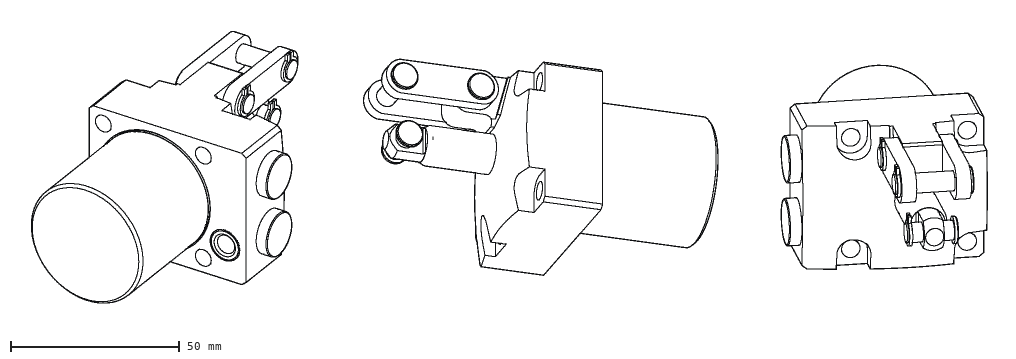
import cadquery as cq
import math


overall_length = 101

block_height = 45.0
block_half = block_height / 2
block_width = 55.0
block_left = -block_half
block_right = block_left + block_width
corner_chamfer_x = 1.5
corner_chamfer_z = 1.2

front_y = 27.6
front_flat_radius = 8.5
front_cone_angle = 15

barrel_radius = 19.6
barrel_length = 37.5
barrel_chamfer = 0.9
barrel_relief = 0.4

bolt_pitch = 35.0
bolt_offset = bolt_pitch / 2
bolt_hole_diameter = 5.6
bolt_pocket_radius = 4.9
bolt_pocket_floor = 18.1

seal_x = 25.0
seal_z = -10.9
seal_groove_outer_radius = 5.1
seal_groove_inner_radius = 4.7
seal_bore_radius = 3.7
seal_bore_floor_radius = 3.0

plug_radius = 7.1
plug_length = 3.7
plug_chamfer = 0.3
plug_y = 12.6
plug_z = 9.9

pin_diameter = 6.0
pin_head_diameter = 8.2
pin_head_length = 1.1
pin_head_chamfer = 0.3
pin_tail_length = 1.4
ring_diameter = 7.9
ring_thickness = 0.9
ring_ear_reach = 5.6
ring_ear_width = 3.3
ring_ear_gap = 0.6

tongue_width = 12.0
link_thickness = 4.4
link_width = 10.8
link_end_radius = 5.6
link_pitch = 23.9
link_tip_y = overall_length - barrel_length
link_outer_y = link_tip_y - link_end_radius
link_inner_y = link_outer_y - link_pitch
link_z = 16.6

tongue_tip_y = 40.6
tongue_bottom = 9.9
tongue_tip_radius = 4.0
tongue_tip_chamfer = 0.8
tongue_root_radius = 2.5
tongue_foot_y = 28.8
tongue_foot_bottom = 6.9

pad_width = 13.9
pad_top_y = 24.2
pad_bevel_top = 10.0
pad_bevel_inset = 2.5

rod_radius = 6.1
rod_edge_y = 46.7
rod_taper_y = 47.4
rod_taper_radius = 6.0
rod_shoulder_y = 48.9
rod_shoulder_radius = 5.3
rod_end_radius = 5.1
rod_end_chamfer_y = 57.6
rod_tip_y = 60.2
rod_tip_radius = 2.7
rod_flat_width = 6.0
rod_flat_root = 0.6
rod_pin_y = 55.0
rod_pin_grip = 12.7


def y_cylinder(radius, y_start, y_end, x=0, z=0):
    """Cylinder parallel to Y between two Y positions."""
    return cq.Workplane("XZ", origin=(x, y_start, z)).circle(radius).extrude(y_start - y_end)


def x_cylinder(radius, x_start, length, y, z):
    """Cylinder parallel to X that starts at x_start."""
    return cq.Workplane("YZ", origin=(x_start, y, z)).circle(radius).extrude(length)


def revolve_about_y(profile):
    """Solid of revolution about the Y axis from (radius, y) points."""
    return cq.Workplane("XY").polyline(profile).close().revolve(360, (0, 0, 0), (0, 1, 0))


def make_block():
    """Rectangular block with cut corners and a conical front."""
    left, right = block_left, block_right
    inner_z = block_half - corner_chamfer_z
    outline = [
        (left, -inner_z),
        (left + corner_chamfer_x, -block_half),
        (right - corner_chamfer_x, -block_half),
        (right, -inner_z),
        (right, inner_z),
        (right - corner_chamfer_x, block_half),
        (left + corner_chamfer_x, block_half),
        (left, inner_z),
    ]
    block = cq.Workplane("XZ").polyline(outline).close().extrude(-front_y)
    cone_radius = block_right + block_half
    cone_drop = (cone_radius - front_flat_radius) * math.tan(math.radians(front_cone_angle))
    envelope = revolve_about_y([
        (0, 0),
        (cone_radius, 0),
        (cone_radius, front_y - cone_drop),
        (front_flat_radius, front_y),
        (0, front_y),
    ])
    return block.intersect(envelope)


def make_tongue():
    """Plate on top of the block front, rounded below its tip and at its root."""
    profile = (
        cq.Workplane("YZ", origin=(-tongue_width / 2, 0, 0))
        .moveTo(bolt_pocket_floor, block_half)
        .lineTo(tongue_tip_y - tongue_tip_chamfer, block_half)
        .lineTo(tongue_tip_y, block_half - tongue_tip_chamfer)
        .lineTo(tongue_tip_y, tongue_bottom + tongue_tip_radius)
        .radiusArc((tongue_tip_y - tongue_tip_radius, tongue_bottom), tongue_tip_radius)
        .lineTo(tongue_foot_y + tongue_root_radius, tongue_bottom)
        .radiusArc((tongue_foot_y, tongue_bottom - tongue_root_radius), -tongue_root_radius)
        .lineTo(tongue_foot_y, tongue_foot_bottom)
        .lineTo(bolt_pocket_floor, tongue_foot_bottom)
        .close()
    )
    return profile.extrude(tongue_width)


def make_pad():
    """Pad on both sides of the tongue whose sloping face follows the conical front."""
    slope_run = (block_half - tongue_foot_bottom) * math.tan(math.radians(front_cone_angle))
    return (
        cq.Workplane("YZ", origin=(-pad_width / 2, 0, 0))
        .moveTo(bolt_pocket_floor, block_half)
        .lineTo(pad_top_y, block_half)
        .lineTo(pad_top_y + slope_run, tongue_foot_bottom)
        .lineTo(bolt_pocket_floor, tongue_foot_bottom)
        .close()
        .extrude(pad_width)
    )


def make_nose():
    """Tongue and pad together, with both lower edges beveled."""
    half_pad = pad_width / 2
    half_bottom = half_pad - pad_bevel_inset
    envelope = (
        cq.Workplane("XZ")
        .polyline([
            (-half_pad, block_half),
            (half_pad, block_half),
            (half_pad, pad_bevel_top),
            (half_bottom, tongue_foot_bottom),
            (-half_bottom, tongue_foot_bottom),
            (-half_pad, pad_bevel_top),
        ])
        .close()
        .extrude(-tongue_tip_y)
    )
    return make_tongue().union(make_pad()).intersect(envelope)


def make_barrel():
    """Cylinder barrel with a chamfered end."""
    return y_cylinder(barrel_radius, 0, -barrel_length).faces("<Y").chamfer(barrel_chamfer)


def make_barrel_relief():
    """Small V-shaped relief around the barrel where it meets the rear face."""
    return revolve_about_y([
        (barrel_radius - barrel_relief, 0),
        (barrel_radius, -barrel_relief),
        (barrel_radius + barrel_relief, 0),
        (barrel_radius, barrel_relief),
    ])


def make_bolt_pocket(x_side, z_side):
    """Round-bottomed pocket over one bolt hole, open to the upper or lower face."""
    x = x_side * bolt_offset
    z = z_side * bolt_offset
    depth = front_y - bolt_pocket_floor
    size = 2 * bolt_pocket_radius
    pocket = y_cylinder(bolt_pocket_radius, bolt_pocket_floor, front_y, x, z)
    y_middle = bolt_pocket_floor + depth / 2
    slot = cq.Workplane("XY").box(size, depth, size)
    pocket = pocket.union(slot.translate((x, y_middle, z + z_side * bolt_pocket_radius)))
    if x_side < 0:
        side = slot.translate((x - bolt_pocket_radius, y_middle, z))
        pocket = pocket.union(side)
    return pocket


def make_seal_cut():
    """Chamfered ring groove around a shallow conical bore in the rear face."""
    groove_depth = seal_groove_outer_radius - seal_groove_inner_radius
    groove = revolve_about_y([
        (seal_groove_inner_radius, 0),
        (seal_groove_outer_radius, 0),
        (seal_groove_outer_radius, groove_depth),
    ])
    bore_depth = seal_bore_radius - seal_bore_floor_radius
    bore = revolve_about_y([
        (0, 0),
        (seal_bore_radius, 0),
        (seal_bore_floor_radius, bore_depth),
        (0, bore_depth),
    ])
    return groove.union(bore).translate((seal_x, 0, seal_z))


def make_housing():
    housing = make_block().union(make_nose()).union(make_barrel())
    housing = housing.cut(make_barrel_relief())
    for x_side in (-1, 1):
        for z_side in (-1, 1):
            x = x_side * bolt_offset
            z = z_side * bolt_offset
            housing = housing.cut(make_bolt_pocket(x_side, z_side))
            housing = housing.cut(y_cylinder(bolt_hole_diameter / 2, 0, front_y, x, z))
    housing = housing.cut(make_seal_cut())
    pin_hole = x_cylinder(pin_diameter / 2, -tongue_width / 2, tongue_width, link_inner_y, link_z)
    return housing.cut(pin_hole)


def make_plug(z):
    """Round port plug seated on the right face of the block."""
    plug = x_cylinder(plug_radius, block_right, plug_length, plug_y, z)
    return plug.faces(">X").chamfer(plug_chamfer)


def make_pin(grip, y, z):
    """Headed pin along X with a retaining ring that has two upright ears."""
    half_grip = grip / 2
    head = x_cylinder(pin_head_diameter / 2, -half_grip - pin_head_length, pin_head_length, y, z)
    head = head.faces("<X").chamfer(pin_head_chamfer)
    shaft = x_cylinder(pin_diameter / 2, -half_grip, grip + pin_tail_length, y, z)
    ring = x_cylinder(ring_diameter / 2, half_grip, ring_thickness, y, z)
    ears = (
        cq.Workplane("XY")
        .box(ring_thickness, ring_ear_width, ring_ear_reach, centered=(False, True, False))
        .translate((half_grip, y, z))
    )
    gap = (
        cq.Workplane("XY")
        .box(ring_thickness, ring_ear_gap, ring_ear_reach, centered=(False, True, False))
        .translate((half_grip, y, z + pin_diameter / 2))
    )
    return shaft.union(head).union(ring.union(ears).cut(gap))


def make_link(x_start):
    """Link plate whose ends are arcs about the pin axes."""
    half_width = link_width / 2
    arc_run = math.sqrt(link_end_radius**2 - half_width**2)
    arc_inner_y = link_inner_y - arc_run
    arc_outer_y = link_outer_y + arc_run
    return (
        cq.Workplane("YZ", origin=(x_start, 0, link_z))
        .moveTo(arc_inner_y, -half_width)
        .lineTo(arc_outer_y, -half_width)
        .threePointArc((link_tip_y, 0), (arc_outer_y, half_width))
        .lineTo(arc_inner_y, half_width)
        .threePointArc((link_inner_y - link_end_radius, 0), (arc_inner_y, -half_width))
        .close()
        .extrude(link_thickness)
    )


def make_linkage():
    """Both link plates, held together by their two pins."""
    linkage = make_link(tongue_width / 2).union(make_link(-tongue_width / 2 - link_thickness))
    grip = tongue_width + 2 * link_thickness
    for y in (link_inner_y, link_outer_y):
        linkage = linkage.union(make_pin(grip, y, link_z))
    return linkage


def make_rod():
    """Piston rod from the housing front to its flattened end, with its cross pin."""
    rod = revolve_about_y([
        (0, front_y),
        (rod_radius, front_y),
        (rod_radius, rod_edge_y),
        (rod_taper_radius, rod_taper_y),
        (rod_shoulder_radius, rod_shoulder_y),
        (rod_end_radius, rod_shoulder_y),
        (rod_end_radius, rod_end_chamfer_y),
        (rod_tip_radius, rod_tip_y),
        (0, rod_tip_y),
    ])
    flat_x = rod_flat_width / 2
    for side in (-1, 1):
        flat = (
            cq.Workplane("XY", origin=(0, 0, -rod_radius))
            .moveTo(side * (flat_x + rod_flat_root), rod_shoulder_y)
            .lineTo(side * flat_x, rod_shoulder_y + rod_flat_root)
            .lineTo(side * flat_x, rod_tip_y)
            .lineTo(side * rod_radius, rod_tip_y)
            .lineTo(side * rod_radius, rod_shoulder_y)
            .close()
            .extrude(2 * rod_radius)
        )
        rod = rod.cut(flat)
    return rod.union(make_pin(rod_pin_grip, rod_pin_y, 0))


housing = make_housing()
rod = make_rod()
linkage = make_linkage()
plugs = [make_plug(side * plug_z).val() for side in (1, -1)]

result = cq.Compound.makeCompound([housing.val(), rod.val(), linkage.val(), *plugs])